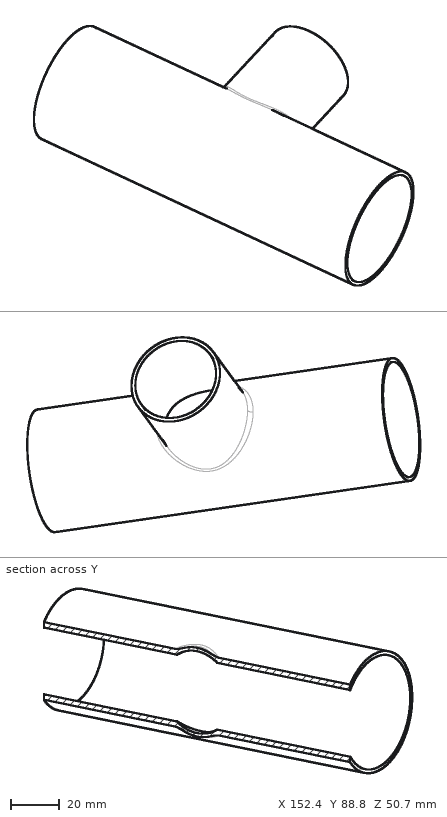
import cadquery as cq

run_length = 152.4
run_outer_diameter = 50.7
run_inner_diameter = 47.5

branch_outer_diameter = 38.1
branch_inner_diameter = 34.7
overall_width = 88.8
branch_reach = overall_width - run_outer_diameter / 2

weld_radius = 1.8


def run_cylinder(diameter):
    """Solid cylinder along X, centred on the origin."""
    return cq.Workplane("YZ").circle(diameter / 2).extrude(run_length / 2, both=True)


def branch_cylinder(diameter):
    """Solid cylinder from the run axis to the open end of the branch."""
    return cq.Workplane("XZ").circle(diameter / 2).extrude(-branch_reach)


def add_weld(body):
    """Fillet the saddle-shaped inside corner between the two outer walls."""
    reach = branch_outer_diameter / 2 + weld_radius
    corner_zone = cq.selectors.BoxSelector(
        (-reach, 0, -reach),
        (reach, run_outer_diameter / 2 + weld_radius, reach),
        boundingbox=True,
    )
    return body.edges(corner_zone).edges("not %LINE").fillet(weld_radius)


outer_body = run_cylinder(run_outer_diameter).union(branch_cylinder(branch_outer_diameter))
welded_body = add_weld(outer_body)
result = welded_body.cut(run_cylinder(run_inner_diameter)).cut(branch_cylinder(branch_inner_diameter))